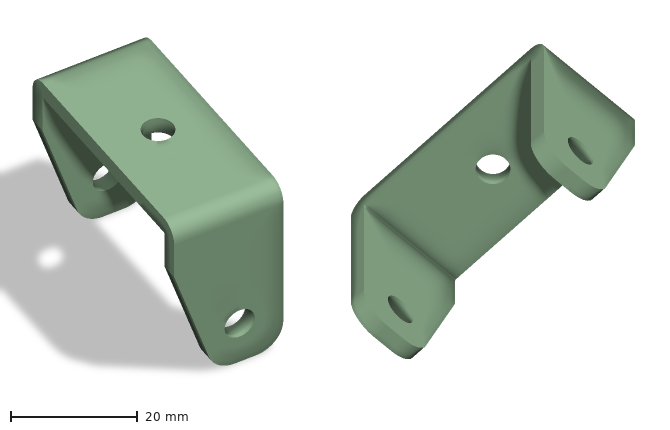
import cadquery as cq

length = 44.0
depth = 20.0
height = 33.0

thickness = 3.0
inner_bend_radius = 0.2
outer_bend_radius = inner_bend_radius + thickness

taper_drop = 10.0
leg_bottom_width = 12.5
leg_corner_radius = 5.0

hole_diameter = 5.5
leg_hole_offset = 8.0

back = depth / 2
front = -depth / 2


def bent_strip():
    """Full-depth U channel, open at the bottom, with rounded bends."""
    outer = (
        cq.Workplane("XY")
        .box(length, depth, height, centered=(True, True, False))
        .edges("|Y and >Z")
        .fillet(outer_bend_radius)
    )
    inner = (
        cq.Workplane("XY")
        .box(length - 2 * thickness, depth, height - thickness, centered=(True, True, False))
        .edges("|Y and >Z")
        .fillet(inner_bend_radius)
    )
    return outer.cut(inner)


def leg_profile():
    """Side outline extruded across both legs: one straight and one sloped edge."""
    return (
        cq.Workplane("YZ")
        .polyline([
            (back, 0),
            (back, height),
            (front, height),
            (front, height - taper_drop),
            (back - leg_bottom_width, 0),
        ])
        .close()
        .extrude(length / 2, both=True)
        .edges("|X and <Z")
        .fillet(leg_corner_radius)
    )


def leg_holes():
    """Cylinder through both legs."""
    return (
        cq.Workplane("YZ")
        .center(back - leg_hole_offset, leg_hole_offset)
        .circle(hole_diameter / 2)
        .extrude(length / 2, both=True)
    )


def top_hole():
    """Cylinder through the center of the top plate."""
    return cq.Workplane("XY").circle(hole_diameter / 2).extrude(height)


result = bent_strip().intersect(leg_profile()).cut(leg_holes()).cut(top_hole())